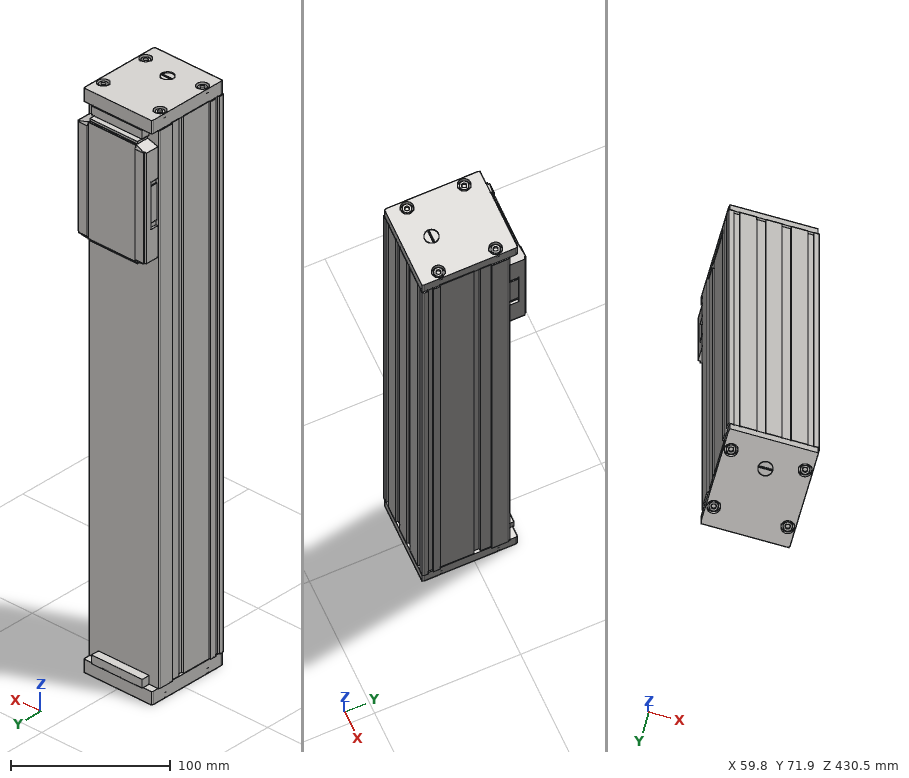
import cadquery as cq

length = 430.5
front_y = -35.95
back_y = 35.95

profile_half_width = 29.9
profile_back_y = 24.0
corner_bevel_x = 0.5
corner_bevel_y = 1.5
side_recess_depth = 1.5
side_recess_back_y = 11.5
side_recess_front_y = -23.5
sensor_groove_back_y = 4.5
sensor_groove_front_y = 0.0
corner_groove_back_y = -28.5
corner_groove_front_y = -32.0
groove_depth = 1.7
outer_groove_x = 24.0
outer_groove_width = 4.0
inner_groove_x = 8.0
inner_groove_width = 6.0

cap_thickness = 10.0
cap_half_width = 29.05
cap_front_y = -35.7
cap_back_y = 29.5
screw_x = 24.0
screw_back_y = 17.0
screw_front_y = -22.5
counterbore_diameter = 8.5
counterbore_depth = 3.5
head_diameter = 6.0
head_height = 2.5
socket_diameter = 3.25
socket_depth = 1.7
plug_y = -16.5
plug_diameter = 9.5
plug_recess = 1.0
plug_slot_width = 1.0
plug_slot_depth = 1.5
tab_length = 6.5
tab_half_width = 21.5
tab_back_y = 30.5

carriage_top_z = 198.0
carriage_bottom_z = 108.0
carriage_half_width = 29.05
carriage_back_y = 35.0
lip_thickness = 1.7
lip_back_y = 33.5
lip_half_width = 20.2
corner_slant_z = 2.5
pad_outer_x = 27.5
pad_bevel_y = 1.5
pad_bevel_z = 2.5
side_pocket_length = 35.0
side_pocket_back_y = 30.5
side_pocket_depth = 1.0
pocket_end_length = 4.0
pocket_end_depth = 1.7

cap_inner_z = length / 2 - cap_thickness
cap_outer_z = length / 2


def box(x0, x1, y0, y1, z0, z1):
    """Axis-aligned block between two opposite corners."""
    return (
        cq.Workplane("XY")
        .box(x1 - x0, y1 - y0, z1 - z0, centered=False)
        .translate((x0, y0, z0))
    )


def side_slab(side, half_width, depth, y0, y1, z0, z1):
    """Block reaching inwards by depth from the face at X = side * half_width."""
    x0, x1 = sorted((side * (half_width - depth), side * half_width))
    return box(x0, x1, y0, y1, z0, z1)


def bevelled_bar(half_width, y0, y1, z0, z1):
    """Rectangular bar along Z with slim bevels on its four long edges."""
    inner_x = half_width - corner_bevel_x
    return (
        cq.Workplane("XY", origin=(0, 0, z0))
        .polyline([
            (-inner_x, y0), (inner_x, y0),
            (half_width, y0 + corner_bevel_y), (half_width, y1 - corner_bevel_y),
            (inner_x, y1), (-inner_x, y1),
            (-half_width, y1 - corner_bevel_y), (-half_width, y0 + corner_bevel_y),
        ])
        .close()
        .extrude(z1 - z0)
    )


def make_profile():
    """Extruded beam with grooves along the front and both sides."""
    z0, z1 = -cap_inner_z, cap_inner_z
    body = bevelled_bar(profile_half_width, front_y, profile_back_y, z0, z1)
    side_cuts = (
        (side_recess_depth, side_recess_front_y, side_recess_back_y),
        (side_recess_depth + groove_depth, sensor_groove_front_y, sensor_groove_back_y),
        (groove_depth, corner_groove_front_y, corner_groove_back_y),
    )
    front_grooves = (
        (outer_groove_x, outer_groove_width),
        (inner_groove_x, inner_groove_width),
    )
    for side in (-1, 1):
        for depth, y0, y1 in side_cuts:
            body = body.cut(side_slab(side, profile_half_width, depth, y0, y1, z0, z1))
        for x, width in front_grooves:
            x0 = side * x - width / 2
            body = body.cut(box(x0, x0 + width, front_y, front_y + groove_depth, z0, z1))
    return body


def discs(points, diameter, z, height):
    """Cylinders along Z standing on (or hanging from) the plane at z."""
    return (
        cq.Workplane("XY", origin=(0, 0, z))
        .pushPoints(points)
        .circle(diameter / 2)
        .extrude(height)
    )


def make_cap():
    """Upper end cap with sunk socket screws, a slotted plug and a strip clamp tab."""
    body = bevelled_bar(cap_half_width, cap_front_y, cap_back_y, cap_inner_z, cap_outer_z)

    screws = [(side * screw_x, y) for side in (-1, 1) for y in (screw_back_y, screw_front_y)]
    seat_z = cap_outer_z - counterbore_depth
    body = body.cut(discs(screws, counterbore_diameter, cap_outer_z, -counterbore_depth))
    body = body.union(discs(screws, head_diameter, seat_z, head_height))
    body = body.cut(discs(screws, socket_diameter, seat_z + head_height, -socket_depth))

    body = body.cut(discs([(0, plug_y)], plug_diameter, cap_outer_z, -plug_recess))
    slot_top_z = cap_outer_z - plug_recess
    slot = box(
        -plug_diameter / 2, plug_diameter / 2,
        plug_y - plug_slot_width / 2, plug_y + plug_slot_width / 2,
        slot_top_z - plug_slot_depth, slot_top_z,
    )
    body = body.cut(slot)

    clamp = box(
        -tab_half_width, tab_half_width, profile_back_y, tab_back_y,
        cap_inner_z - tab_length, cap_inner_z,
    )
    return body.union(clamp)


def make_carriage():
    """Carriage with slanted corners, end lips, two bevelled pads and side pockets."""
    z0, z1 = carriage_bottom_z, carriage_top_z
    middle_z = (z0 + z1) / 2
    main_z0, main_z1 = z0 + lip_thickness, z1 - lip_thickness
    half_width = carriage_half_width

    body = box(-half_width, half_width, profile_back_y, carriage_back_y, main_z0, main_z1)
    for side in (-1, 1):
        x0, x1 = sorted((side * lip_half_width, side * pad_outer_x))
        body = body.union(box(x0, x1, carriage_back_y, back_y, main_z0, main_z1))

    bevel_outline = (
        cq.Workplane("YZ", origin=(-half_width, 0, 0))
        .polyline([
            (profile_back_y, main_z0), (back_y - pad_bevel_y, main_z0),
            (back_y, main_z0 + pad_bevel_z), (back_y, main_z1 - pad_bevel_z),
            (back_y - pad_bevel_y, main_z1), (profile_back_y, main_z1),
        ])
        .close()
        .extrude(2 * half_width)
    )

    corner_outline = (
        cq.Workplane("XZ", origin=(0, profile_back_y, 0))
        .polyline([
            (-lip_half_width, main_z0), (lip_half_width, main_z0),
            (half_width, main_z0 + corner_slant_z), (half_width, main_z1 - corner_slant_z),
            (lip_half_width, main_z1), (-lip_half_width, main_z1),
            (-half_width, main_z1 - corner_slant_z), (-half_width, main_z0 + corner_slant_z),
        ])
        .close()
        .extrude(profile_back_y - back_y)
    )
    body = body.intersect(bevel_outline).intersect(corner_outline)
    body = body.union(box(-lip_half_width, lip_half_width, profile_back_y, lip_back_y, z0, z1))

    half_length = side_pocket_length / 2
    pocket_z0, pocket_z1 = middle_z - half_length, middle_z + half_length
    pocket_cuts = (
        (side_pocket_depth, pocket_z0, pocket_z1),
        (pocket_end_depth, pocket_z0, pocket_z0 + pocket_end_length),
        (pocket_end_depth, pocket_z1 - pocket_end_length, pocket_z1),
    )
    for side in (-1, 1):
        for depth, bottom, top in pocket_cuts:
            body = body.cut(
                side_slab(side, half_width, depth, profile_back_y, side_pocket_back_y, bottom, top)
            )
    return body


profile = make_profile()
upper_cap = make_cap()
lower_cap = upper_cap.mirror("XY")
carriage = make_carriage()

result = cq.Compound.makeCompound([profile.val(), upper_cap.val(), lower_cap.val(), carriage.val()])